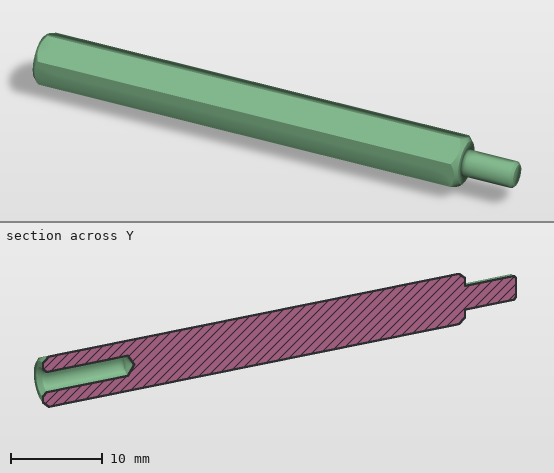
import cadquery as cq
import math

total_length = 56.0
stud_length = 6.0
across_flats = 5.5
stud_diameter = 3.0
stud_tip_chamfer = 0.3
bore_diameter = 2.45
bore_mouth_diameter = 3.5
bore_depth = 10.1
drill_point_angle = 118.0
end_face_diameter = 4.9
end_bevel_angle = 45.0

body_length = total_length - stud_length
across_corners = across_flats / math.cos(math.radians(30))
corner_radius = across_corners / 2
end_face_radius = end_face_diameter / 2
bevel_length = (corner_radius - end_face_radius) * math.tan(math.radians(end_bevel_angle))


def revolve_about_x(points):
    """Revolve an (x, radius) profile a full turn about the X axis."""
    return cq.Workplane("XY").polyline(points).close().revolve(360, (0, 0, 0), (1, 0, 0))


def hex_body():
    """Hexagonal bar with corners up and down, and conically bevelled ends."""
    prism = (
        cq.Workplane("YZ")
        .polygon(6, across_corners)
        .extrude(body_length)
        .rotate((0, 0, 0), (1, 0, 0), 90)
    )
    envelope = revolve_about_x([
        (0, 0),
        (0, end_face_radius),
        (bevel_length, corner_radius),
        (body_length - bevel_length, corner_radius),
        (body_length, end_face_radius),
        (body_length, 0),
    ])
    return prism.intersect(envelope)


def stud():
    """Plain cylindrical stud with a chamfered tip."""
    return (
        cq.Workplane("YZ", origin=(body_length, 0, 0))
        .circle(stud_diameter / 2)
        .extrude(stud_length)
        .faces(">X")
        .chamfer(stud_tip_chamfer)
    )


def blind_bore():
    """Drilled hole with a 45 degree countersunk mouth and a conical bottom."""
    bore_radius = bore_diameter / 2
    mouth_radius = bore_mouth_diameter / 2
    point_length = bore_radius / math.tan(math.radians(drill_point_angle / 2))
    return revolve_about_x([
        (0, 0),
        (0, mouth_radius),
        (mouth_radius - bore_radius, bore_radius),
        (bore_depth, bore_radius),
        (bore_depth + point_length, 0),
    ])


result = hex_body().union(stud()).cut(blind_bore())